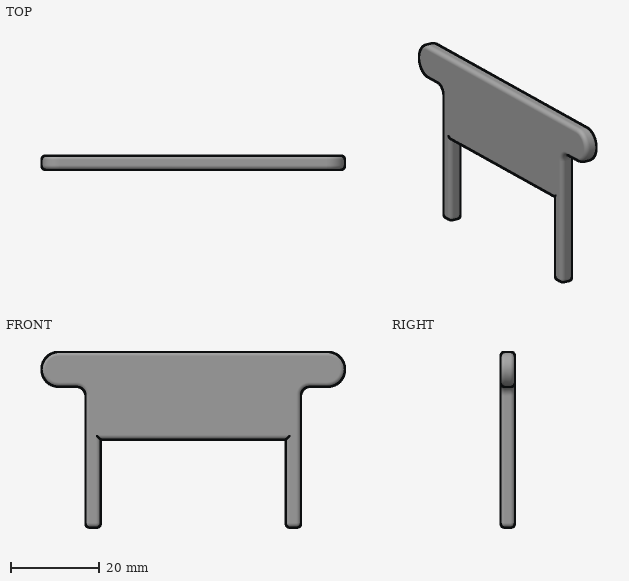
import cadquery as cq

overall_width = 69.0
overall_height = 40.0
thickness = 3.3
head_height = 8.0
body_width = 49.0
body_bottom_depth = 20.0
leg_width = 3.5
corner_radius = 2.0
edge_radius = 1.0

top_z = overall_height / 2
leg_bottom_z = -overall_height / 2
head_bottom_z = top_z - head_height
body_bottom_z = top_z - body_bottom_depth
head_radius = head_height / 2
head_half_straight = overall_width / 2 - head_radius
leg_outer_x = body_width / 2
leg_inner_x = leg_outer_x - leg_width


def make_blank():
    """Flat plate: round-ended head, body and two legs in one closed outline."""
    outline = (
        cq.Workplane("XZ", origin=(0, thickness / 2, 0))
        .moveTo(-head_half_straight, top_z)
        .lineTo(head_half_straight, top_z)
        .threePointArc(
            (overall_width / 2, top_z - head_radius),
            (head_half_straight, head_bottom_z),
        )
        .lineTo(leg_outer_x, head_bottom_z)
        .lineTo(leg_outer_x, leg_bottom_z)
        .lineTo(leg_inner_x, leg_bottom_z)
        .lineTo(leg_inner_x, body_bottom_z)
        .lineTo(-leg_inner_x, body_bottom_z)
        .lineTo(-leg_inner_x, leg_bottom_z)
        .lineTo(-leg_outer_x, leg_bottom_z)
        .lineTo(-leg_outer_x, head_bottom_z)
        .lineTo(-head_half_straight, head_bottom_z)
        .threePointArc(
            (-overall_width / 2, top_z - head_radius),
            (-head_half_straight, top_z),
        )
        .close()
    )
    return outline.extrude(thickness)


def round_head_corners(plate):
    """Blend the underside of the head into the outer faces of the legs."""
    for side in (-1, 1):
        corner = cq.selectors.NearestToPointSelector((side * leg_outer_x, 0, head_bottom_z))
        plate = plate.edges(corner).fillet(corner_radius)
    return plate


def round_edges(plate):
    """Round every edge of the two broad faces together with the leg ends."""
    leg_ends = plate.faces("<Z").edges("|Y")
    broad_edges = plate.faces("<Y or >Y").edges()
    return plate.newObject(broad_edges.vals() + leg_ends.vals()).fillet(edge_radius)


result = round_edges(round_head_corners(make_blank()))